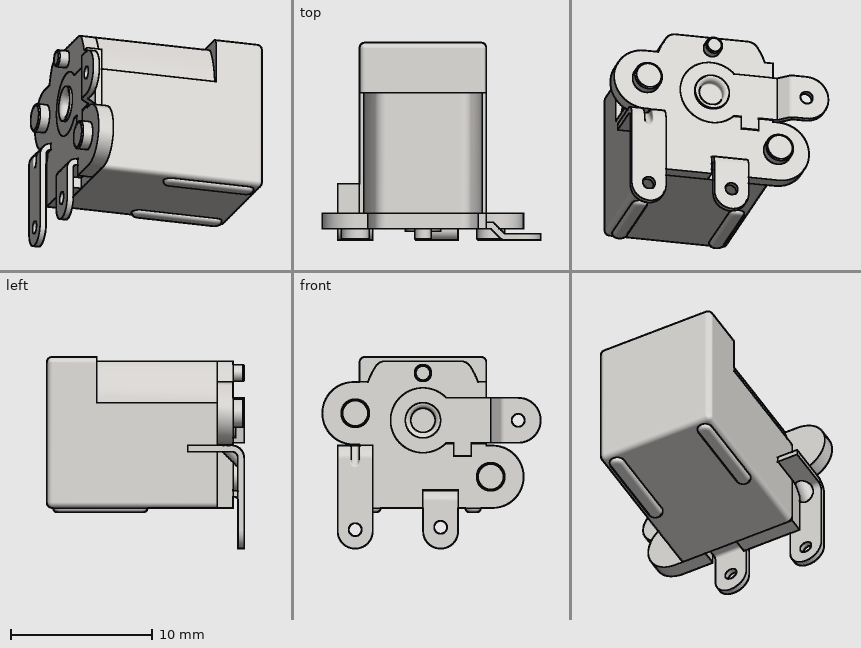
import cadquery as cq
import math


lobe_radius = 2.22
lobe_offset = 4.92
left_lobe_height = 0.5
right_lobe_height = -4.0

body_width = 9.0
body_top = 4.5
body_bottom = right_lobe_height - lobe_radius
body_back = 13.2
body_fillet = 0.4
collar_front = 9.65

crown_top = 4.2
crown_base_half_width = 4.2
crown_base_height = 1.25
crown_middle = (3.9, 2.72)
crown_peak_half_width = 3.08
crown_fillet = 0.85

foot_spacing = 7.1
foot_width = 1.1
foot_front = 6.05
foot_back = 12.75
foot_height = 0.3
foot_fillet = 0.29

plate_thickness = 1.1
large_peg_offset = 4.8
large_peg_diameter = 2.0
small_peg_diameter = 1.2
small_peg_height = 3.35
peg_length = 0.8
peg_chamfer = 0.1

sheet = 0.45
step = 0.8
tail_hole_diameter = 0.9
fit_gap = 0.06
full_round = 0.999

ring_diameter = 4.6
arm_width = 3.2
arm_step_start = 4.8
arm_tail_center = 6.75
arm_bend_radius = 0.4
tab_left = 2.18
tab_width = 1.25
tab_bottom = -2.5

bent_width = 2.5
bent_bottom = -9.1
side_center = -large_peg_offset
side_top = -1.77
side_bend_radius = 0.9
side_leg_depth = 3.2
side_hole_height = -7.75
side_groove_radius = 0.28
side_groove_edge_fillet = 0.12
side_groove_drop = 1.11
side_rib_wall = 0.35
middle_center = 1.25
middle_top = -4.98
middle_bend_radius = 0.7
middle_hole_height = -7.58

pin_diameter = 2.5
pin_rim = 0.18
pin_bore_radius = 0.86
pin_bore_depth = 0.6
pin_floor_fillet = 0.12
pin_flare_share = 0.98


def at_depth(depth):
    """Workplane facing -Y whose local axes are X and Z."""
    return cq.Workplane("XZ", origin=(0, depth, 0))


def block(left, right, bottom, top, front, back):
    """Box given by its limits on the three axes."""
    size = (right - left, back - front, top - bottom)
    return cq.Workplane("XY").box(*size, centered=False).translate((left, front, bottom))


def rod(x, z, diameter, front, back):
    """Cylinder parallel to Y."""
    return at_depth(back).center(x, z).circle(diameter / 2).extrude(back - front)


def crown(front, back):
    """Upper section with curved flanks and rounded top corners."""
    middle_x, middle_z = crown_middle
    return (
        at_depth(back)
        .moveTo(-crown_base_half_width, crown_base_height)
        .threePointArc((-middle_x, middle_z), (-crown_peak_half_width, crown_top))
        .lineTo(crown_peak_half_width, crown_top)
        .threePointArc((middle_x, middle_z), (crown_base_half_width, crown_base_height))
        .close()
        .extrude(back - front)
        .edges("|Y and >Z")
        .fillet(crown_fillet)
    )


def make_foot(x):
    """Long foot with rounded ends and a rounded lower edge."""
    return (
        cq.Workplane("XY", origin=(x, (foot_front + foot_back) / 2, body_bottom))
        .slot2D(foot_back - foot_front, foot_width, 90)
        .extrude(-foot_height)
        .faces("<Z")
        .edges()
        .fillet(foot_fillet)
    )


def make_housing():
    half = body_width / 2
    body = block(-half, half, body_bottom, body_top, plate_thickness, body_back)
    body = body.edges("|Y").fillet(body_fillet)
    body = body.faces(">Y").edges().fillet(body_fillet)
    above_ledge = block(-half, half, crown_base_height, body_top, plate_thickness, collar_front)
    body = body.cut(above_ledge).union(crown(plate_thickness, collar_front))
    for side in (-1, 1):
        body = body.union(make_foot(side * foot_spacing / 2))
    return body


def make_lobe(side, height):
    """Round ear reaching out from the middle of the plate."""
    center = side * lobe_offset
    ear = rod(center, height, 2 * lobe_radius, 0, plate_thickness)
    left, right = sorted((0, center))
    neck = block(left, right, height - lobe_radius, height + lobe_radius, 0, plate_thickness)
    return ear.union(neck)


def make_peg(x, z, diameter):
    peg = rod(x, z, diameter, -peg_length, 0)
    return peg.faces("<Y").chamfer(peg_chamfer)


def make_plate():
    half = body_width / 2
    shoulder = left_lobe_height + lobe_radius
    plate = block(-half, half, body_bottom, shoulder, 0, plate_thickness)
    plate = plate.union(crown(0, plate_thickness))
    plate = plate.union(make_lobe(-1, left_lobe_height))
    plate = plate.union(make_lobe(1, right_lobe_height))
    plate = plate.union(make_peg(-large_peg_offset, left_lobe_height, large_peg_diameter))
    plate = plate.union(make_peg(large_peg_offset, right_lobe_height, large_peg_diameter))
    plate = plate.union(make_peg(0, small_peg_height, small_peg_diameter))
    notch = block(
        middle_center - bent_width / 2,
        middle_center + bent_width / 2,
        body_bottom,
        middle_top + fit_gap,
        0,
        plate_thickness,
    )
    return plate.cut(notch)


def pin_terminal_flat(gap, arm_end):
    """Ring, arm and tab lying in the plate; the gap is added below the arm and the tab."""
    half = arm_width / 2
    ring = rod(0, 0, ring_diameter, 0, sheet)
    arm = block(0, arm_end, -half - gap, half, 0, sheet)
    tab = block(tab_left, tab_left + tab_width, tab_bottom - gap, 0, 0, sheet)
    return ring.union(arm).union(tab)


def make_pin_terminal():
    half = arm_width / 2
    tail_end = arm_tail_center + half
    inner_shift = sheet * math.tan(math.radians(45) / 2)
    step_end = arm_step_start + step
    tail = (
        cq.Workplane("XY", origin=(0, 0, -half))
        .moveTo(arm_step_start, 0)
        .lineTo(step_end, -step)
        .lineTo(tail_end, -step)
        .lineTo(tail_end, sheet - step)
        .lineTo(step_end + inner_shift, sheet - step)
        .lineTo(arm_step_start + inner_shift, sheet)
        .lineTo(arm_step_start, sheet)
        .close()
        .extrude(arm_width)
    )
    outer_bend = cq.selectors.NearestToPointSelector((step_end, -step, 0))
    tail = tail.edges("|Z").edges(outer_bend).fillet(arm_bend_radius)
    tail = tail.edges("|Y and >X").fillet(half * full_round)
    terminal = pin_terminal_flat(0, arm_step_start).union(tail)
    return terminal.cut(rod(arm_tail_center, 0, tail_hole_diameter, -step, sheet))


def make_bent_terminal(center, top, bend_radius, leg_depth, hole_height):
    """Right-angle strip: a leg going into the jack and a tail hanging down with a round end."""
    half = bent_width / 2
    inner_radius = bend_radius - sheet
    bend_y = bend_radius - step
    bend_z = top - bend_radius
    diagonal = math.sqrt(0.5)
    strip = (
        cq.Workplane("YZ", origin=(center - half, 0, 0))
        .moveTo(leg_depth, top)
        .lineTo(bend_y, top)
        .threePointArc(
            (bend_y - bend_radius * diagonal, bend_z + bend_radius * diagonal),
            (-step, bend_z),
        )
        .lineTo(-step, bent_bottom)
        .lineTo(sheet - step, bent_bottom)
        .lineTo(sheet - step, bend_z)
        .threePointArc(
            (bend_y - inner_radius * diagonal, bend_z + inner_radius * diagonal),
            (bend_y, top - sheet),
        )
        .lineTo(leg_depth, top - sheet)
        .close()
        .extrude(bent_width)
    )
    strip = strip.edges("|Y and <Z").fillet(half * full_round)
    return strip.cut(rod(center, hole_height, tail_hole_diameter, -step, sheet - step))


def diagonal_groove(radius):
    """Round-bottomed bar across the side terminal's bend, at 45 degrees and open to the outside."""
    length = 6 * side_bend_radius
    bar = cq.Workplane("XY").circle(radius).extrude(length, both=True)
    bar = bar.union(block(-radius, radius, -length, length, -side_bend_radius, 0))
    bar = bar.rotate((0, 0, 0), (1, 0, 0), -45)
    return bar.translate((side_center, -step, side_top - side_groove_drop))


def make_side_terminal():
    """Bent terminal stiffened by a pressed groove across its bend."""
    strip = make_bent_terminal(side_center, side_top, side_bend_radius, side_leg_depth, side_hole_height)
    half = bent_width / 2
    inside_corner = block(
        side_center - half,
        side_center + half,
        bent_bottom,
        side_top - sheet,
        sheet - step,
        side_leg_depth,
    )
    rib = diagonal_groove(side_groove_radius + side_rib_wall).intersect(inside_corner)
    strip = strip.union(rib).cut(diagonal_groove(side_groove_radius))
    left = side_center - half / 2
    right = side_center + half / 2
    groove_bottom = side_top - 2 * side_groove_drop
    on_front = cq.selectors.BoxSelector(
        (left, -step - fit_gap, groove_bottom),
        (right, -fit_gap - step / 2, side_top + fit_gap),
    )
    on_top = cq.selectors.BoxSelector(
        (left, 0, side_top - fit_gap),
        (right, side_leg_depth / 2, side_top + fit_gap),
    )
    return strip.edges(on_front + on_top).fillet(side_groove_edge_fillet)


def make_pin():
    """Hollow pin end with a flared mouth."""
    pin = rod(0, 0, pin_diameter, -pin_rim, plate_thickness)
    bore = rod(0, 0, 2 * pin_bore_radius, -pin_rim, pin_bore_depth - pin_rim)
    bore = bore.faces(">Y").edges().fillet(pin_floor_fillet)
    pin = pin.cut(bore)
    wall = pin_diameter / 2 - pin_bore_radius
    mouth = pin.faces("<Y").edges(cq.selectors.RadiusNthSelector(0))
    return mouth.fillet(wall * pin_flare_share)


pin = make_pin()
pin_terminal = make_pin_terminal()
side_terminal = make_side_terminal()
middle_terminal = make_bent_terminal(
    middle_center, middle_top, middle_bend_radius, plate_thickness, middle_hole_height
)

pin_hole = rod(0, 0, pin_diameter, 0, plate_thickness)
plate = make_plate().cut(pin_terminal_flat(fit_gap, body_width)).cut(pin_hole).cut(side_terminal)
pin_terminal = pin_terminal.cut(pin_hole)
housing = make_housing().cut(side_terminal)

bodies = [housing, plate, pin_terminal, side_terminal, middle_terminal, pin]
result = cq.Compound.makeCompound([body.solids().val() for body in bodies])